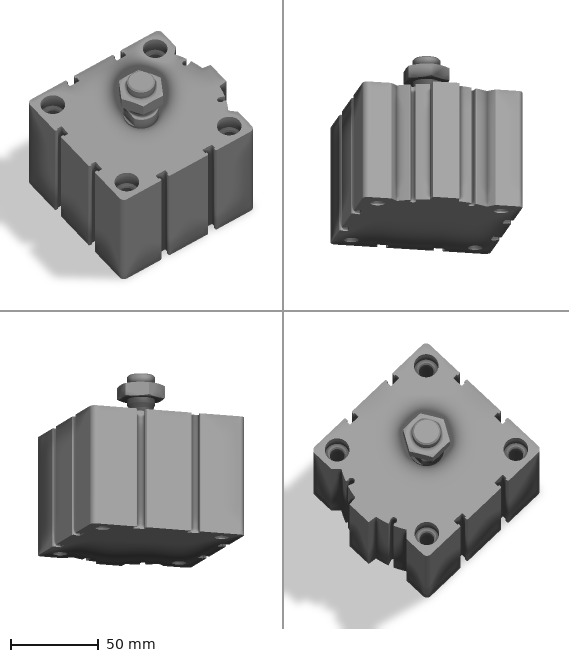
import cadquery as cq
import math

WIDTH = 93.0
HALF = WIDTH / 2
OVERALL_DEPTH = 101.0
BODY_HEIGHT = 69.0
CORNER_RADIUS = 3.0

CROWN_RADIUS = 49.9
SHOULDER_HALF_WIDTH = 30.3
PROJECTION_TIP_HALF_WIDTH = 7.7
PROJECTION_ROOT_HALF_WIDTH = 8.3

HOLE_PITCH = 72.0
HOLE_DIAMETER = 8.4
HOLE_CHAMFER_DIAMETER = 10.0
COUNTERBORE_DIAMETER = 14.0
COUNTERBORE_DEPTH = 9.0

SLOT_OFFSET = 16.5
SLOT_OPENING = 5.2
SLOT_INNER_WIDTH = 6.9
SLOT_DEPTH = 4.9
SLOT_LIP = 1.9
SLOT_ROUNDING = 0.4

GROOVE_ANGLE = 21.3
GROOVE_CENTRE_RADIUS = 46.8
GROOVE_DIAMETER = 3.7
GROOVE_NECK_WIDTH = 2.9
GROOVE_LIP_ROUNDING = 0.5
GROOVE_OVERRUN = 1.0

ROD_DIAMETER = 20.0
ROD_FLATS_WIDTH = 17.0
ROD_FLATS_START = 1.2
ROD_SHOULDER_HEIGHT = 8.0
ROD_SHOULDER_CHAMFER = 0.4
NECK_DIAMETER = 13.9
NECK_FOOT_DIAMETER = 14.9
NECK_BOTTOM = 8.8
NECK_TOP = 10.4
THREAD_START = 13.0
THREAD_DIAMETER = 16.0
THREAD_CHAMFER = 0.9
ROD_LENGTH = 30.0

NUT_ACROSS_FLATS = 23.9
NUT_HEIGHT = 8.0
NUT_BOTTOM = 16.1
NUT_CHAMFER_ANGLE = 15.0


def body_blank():
    """Square block whose rear side is a crown with a central projection."""
    notch_sum = HALF - SHOULDER_HALF_WIDTH
    notch_x = (notch_sum + math.sqrt(2 * CROWN_RADIUS**2 - notch_sum**2)) / 2 - notch_sum
    notch_y = notch_x + notch_sum
    root_y = math.sqrt(CROWN_RADIUS**2 - PROJECTION_ROOT_HALF_WIDTH**2)
    tip_y = OVERALL_DEPTH - HALF

    middle_angle = (math.atan2(PROJECTION_ROOT_HALF_WIDTH, root_y) + math.atan2(notch_x, notch_y)) / 2
    middle_x = CROWN_RADIUS * math.sin(middle_angle)
    middle_y = CROWN_RADIUS * math.cos(middle_angle)

    half_outline = (
        cq.Workplane("XY")
        .moveTo(0, -HALF)
        .lineTo(HALF, -HALF)
        .lineTo(HALF, HALF)
        .lineTo(SHOULDER_HALF_WIDTH, HALF)
        .lineTo(notch_x, notch_y)
        .threePointArc((middle_x, middle_y), (PROJECTION_ROOT_HALF_WIDTH, root_y))
        .lineTo(PROJECTION_TIP_HALF_WIDTH, tip_y)
        .lineTo(0, tip_y)
    )
    blank = half_outline.mirrorY().extrude(BODY_HEIGHT)
    for x in (-HALF, HALF):
        for y in (-HALF, HALF):
            corner = cq.selectors.NearestToPointSelector((x, y, BODY_HEIGHT / 2))
            blank = blank.edges(corner).fillet(CORNER_RADIUS)
    return blank


def t_slot():
    """Full-height T-slot with rounded lips, opening through the front face at x = 0."""
    opening = SLOT_OPENING / 2
    inner = SLOT_INNER_WIDTH / 2
    floor = -HALF + SLOT_DEPTH
    lip = -HALF + SLOT_LIP
    return (
        cq.Workplane("XY")
        .moveTo(0, -HALF)
        .lineTo(opening + SLOT_ROUNDING, -HALF)
        .radiusArc((opening, -HALF + SLOT_ROUNDING), -SLOT_ROUNDING)
        .lineTo(opening, lip)
        .lineTo(inner, lip)
        .lineTo(inner, floor - SLOT_ROUNDING)
        .radiusArc((inner - SLOT_ROUNDING, floor), -SLOT_ROUNDING)
        .lineTo(0, floor)
        .mirrorY()
        .extrude(BODY_HEIGHT)
    )


def cut_t_slots(body):
    """Two T-slots in each of the front, left and right sides."""
    for side_angle in (-90, 0, 90):
        for offset in (-SLOT_OFFSET, SLOT_OFFSET):
            slot = t_slot().translate((offset, 0, 0))
            body = body.cut(slot.rotate((0, 0, 0), (0, 0, 1), side_angle))
    return body


def cut_keyhole_grooves(body):
    """Round grooves in the crown; one wall of each neck is tangent to the round."""
    groove_radius = GROOVE_DIAMETER / 2
    neck_length = CROWN_RADIUS - GROOVE_CENTRE_RADIUS + GROOVE_OVERRUN
    neck_x = groove_radius - GROOVE_NECK_WIDTH / 2
    outer_wall_x = groove_radius - GROOVE_NECK_WIDTH
    neck = (
        cq.Workplane("XY")
        .center(neck_x, GROOVE_CENTRE_RADIUS + neck_length / 2)
        .rect(GROOVE_NECK_WIDTH, neck_length)
        .extrude(BODY_HEIGHT)
    )
    round_bottom = (
        cq.Workplane("XY")
        .center(0, GROOVE_CENTRE_RADIUS)
        .circle(groove_radius)
        .extrude(BODY_HEIGHT)
    )
    groove = neck.union(round_bottom).rotate((0, 0, 0), (0, 0, 1), GROOVE_ANGLE)
    body = body.cut(groove).cut(groove.mirror("YZ"))

    lip_angle = math.radians(GROOVE_ANGLE) - math.asin(outer_wall_x / CROWN_RADIUS)
    lip_x = CROWN_RADIUS * math.sin(lip_angle)
    lip_y = CROWN_RADIUS * math.cos(lip_angle)
    for x in (-lip_x, lip_x):
        lip = cq.selectors.NearestToPointSelector((x, lip_y, BODY_HEIGHT / 2))
        body = body.edges(lip).fillet(GROOVE_LIP_ROUNDING)
    return body


def cut_mounting_holes(body):
    """Counterbored through holes with a 45 degree chamfer below the counterbore."""
    hole_radius = HOLE_DIAMETER / 2
    chamfer_radius = HOLE_CHAMFER_DIAMETER / 2
    counterbore_radius = COUNTERBORE_DIAMETER / 2
    counterbore_floor = BODY_HEIGHT - COUNTERBORE_DEPTH
    chamfer_bottom = counterbore_floor - (chamfer_radius - hole_radius)
    hole = (
        cq.Workplane("XZ")
        .moveTo(0, 0)
        .lineTo(hole_radius, 0)
        .lineTo(hole_radius, chamfer_bottom)
        .lineTo(chamfer_radius, counterbore_floor)
        .lineTo(counterbore_radius, counterbore_floor)
        .lineTo(counterbore_radius, BODY_HEIGHT)
        .lineTo(0, BODY_HEIGHT)
        .close()
        .revolve(360, (0, 0, 0), (0, 1, 0))
    )
    for x in (-HOLE_PITCH / 2, HOLE_PITCH / 2):
        for y in (-HOLE_PITCH / 2, HOLE_PITCH / 2):
            body = body.cut(hole.translate((x, y, 0)))
    return body


def make_body():
    body = cut_t_slots(body_blank())
    body = cut_keyhole_grooves(body)
    return cut_mounting_holes(body)


def make_rod():
    """Turned rod standing on the body, with two wrench flats and a threaded end."""
    rod_radius = ROD_DIAMETER / 2
    thread_radius = THREAD_DIAMETER / 2
    neck_radius = NECK_DIAMETER / 2
    rod = (
        cq.Workplane("XZ")
        .moveTo(0, 0)
        .lineTo(rod_radius, 0)
        .lineTo(rod_radius, ROD_SHOULDER_HEIGHT - ROD_SHOULDER_CHAMFER)
        .lineTo(rod_radius - ROD_SHOULDER_CHAMFER, ROD_SHOULDER_HEIGHT)
        .lineTo(NECK_FOOT_DIAMETER / 2, ROD_SHOULDER_HEIGHT)
        .lineTo(neck_radius, NECK_BOTTOM)
        .lineTo(neck_radius, NECK_TOP)
        .lineTo(thread_radius, THREAD_START)
        .lineTo(thread_radius, ROD_LENGTH - THREAD_CHAMFER)
        .lineTo(thread_radius - THREAD_CHAMFER, ROD_LENGTH)
        .lineTo(0, ROD_LENGTH)
        .close()
        .revolve(360, (0, 0, 0), (0, 1, 0))
    )
    flat_depth = (ROD_DIAMETER - ROD_FLATS_WIDTH) / 2
    flat_height = ROD_SHOULDER_HEIGHT - ROD_FLATS_START
    flat_y = (ROD_FLATS_WIDTH + flat_depth) / 2
    for y in (-flat_y, flat_y):
        flat = (
            cq.Workplane("XY")
            .box(ROD_DIAMETER, flat_depth, flat_height, centered=(True, True, False))
            .translate((0, y, ROD_FLATS_START))
        )
        rod = rod.cut(flat)
    return rod.translate((0, 0, BODY_HEIGHT))


def make_nut():
    """Hexagon nut with corners on the Y axis, chamfered at both ends."""
    corner_radius = NUT_ACROSS_FLATS / math.sqrt(3)
    end_radius = NUT_ACROSS_FLATS / 2
    chamfer_drop = (corner_radius - end_radius) * math.tan(math.radians(NUT_CHAMFER_ANGLE))
    hexagon = (
        cq.Workplane("XY")
        .polygon(6, 2 * corner_radius)
        .extrude(NUT_HEIGHT)
        .rotate((0, 0, 0), (0, 0, 1), 30)
    )
    chamfered_disc = (
        cq.Workplane("XZ")
        .moveTo(0, 0)
        .lineTo(end_radius, 0)
        .lineTo(corner_radius, chamfer_drop)
        .lineTo(corner_radius, NUT_HEIGHT - chamfer_drop)
        .lineTo(end_radius, NUT_HEIGHT)
        .lineTo(0, NUT_HEIGHT)
        .close()
        .revolve(360, (0, 0, 0), (0, 1, 0))
    )
    bore = cq.Workplane("XY").circle(THREAD_DIAMETER / 2).extrude(NUT_HEIGHT)
    nut = hexagon.intersect(chamfered_disc).cut(bore)
    return nut.translate((0, 0, BODY_HEIGHT + NUT_BOTTOM))


body = make_body()
rod = make_rod()
nut = make_nut()

result = cq.Compound.makeCompound([body.val(), rod.val(), nut.val()])